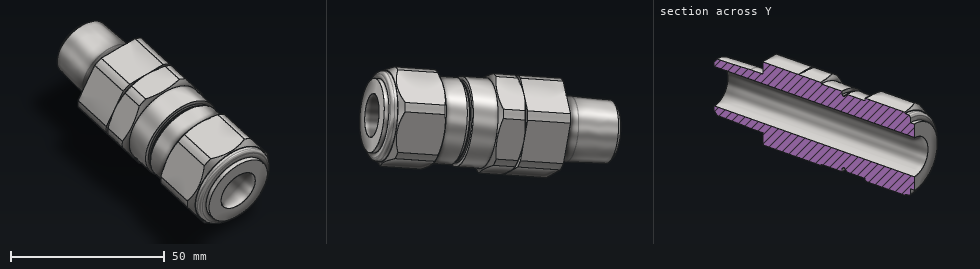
import cadquery as cq
import math

TOTAL_LENGTH = 82.65
BORE_RADIUS = 7.1
BORE_CHAMFER = 0.25

ACROSS_FLATS = 30.5
CORNER_RADIUS = 16.8
BEVEL_RUN = math.tan(math.radians(30))

SPIGOT_FACE_RADIUS = 8.9
SPIGOT_CHAMFER_LENGTH = 1.3
SPIGOT_TIP_RADIUS = 10.4
SPIGOT_RADIUS = 10.8
TAPER_END = 15.2

BODY_START = 20.1
BODY_END = 34.9
BODY_NECK_RADIUS = 15.2
COLLAR_START = 44.4

COLLAR_RADIUS = 14.8
COLLAR_END = 52.9
GROOVE_RADIUS = 13.15
GROOVE_START = 53.3
GROOVE_END = 53.6
SLEEVE_RADIUS = 14.3

NUT_START = 62.2
NUT_FACE_RADIUS = 15.0
FLANGE_START = 78.9
FLANGE_RADIUS = 14.8
FLANGE_END = 81.1
FLANGE_FILLET = 1.1
TUBE_RADIUS = 12.15


def turned(profile):
    """Solid of revolution about X from (x, radius) points, closed along the axis."""
    points = [(profile[0][0], 0)] + profile + [(profile[-1][0], 0)]
    return cq.Workplane("XY").polyline(points).close().revolve(360, (0, 0, 0), (1, 0, 0))


def hexagonal(profile):
    """Turned blank cut to a hexagon with flats facing +Z and -Z."""
    start = profile[0][0]
    length = profile[-1][0] - start
    prism = (
        cq.Workplane("YZ", origin=(start, 0, 0))
        .polygon(6, ACROSS_FLATS / math.cos(math.pi / 6))
        .extrude(length)
    )
    return turned(profile).intersect(prism)


spigot = turned([
    (0, SPIGOT_FACE_RADIUS),
    (SPIGOT_CHAMFER_LENGTH, SPIGOT_TIP_RADIUS),
    (TAPER_END, SPIGOT_RADIUS),
    (BODY_START, SPIGOT_RADIUS),
])

body_hexagon = hexagonal([(BODY_START, CORNER_RADIUS), (BODY_END, CORNER_RADIUS)])

middle_hexagon = hexagonal([
    (BODY_END, BODY_NECK_RADIUS),
    (BODY_END + (CORNER_RADIUS - BODY_NECK_RADIUS) * BEVEL_RUN, CORNER_RADIUS),
    (COLLAR_START - (CORNER_RADIUS - COLLAR_RADIUS) * BEVEL_RUN, CORNER_RADIUS),
    (COLLAR_START, COLLAR_RADIUS),
])

collar_and_sleeve = turned([
    (COLLAR_START, COLLAR_RADIUS),
    (COLLAR_END, COLLAR_RADIUS),
    (COLLAR_END, GROOVE_RADIUS + GROOVE_START - COLLAR_END),
    (GROOVE_START, GROOVE_RADIUS),
    (GROOVE_END, GROOVE_RADIUS),
    (GROOVE_END + SLEEVE_RADIUS - GROOVE_RADIUS, SLEEVE_RADIUS),
    (NUT_START, SLEEVE_RADIUS),
])

nut = hexagonal([
    (NUT_START, NUT_FACE_RADIUS),
    (NUT_START + (CORNER_RADIUS - NUT_FACE_RADIUS) * BEVEL_RUN, CORNER_RADIUS),
    (FLANGE_START - (CORNER_RADIUS - NUT_FACE_RADIUS), CORNER_RADIUS),
    (FLANGE_START, NUT_FACE_RADIUS),
])

flange = turned([
    (FLANGE_START, FLANGE_RADIUS),
    (FLANGE_END, FLANGE_RADIUS),
])
flange = flange.faces(">X").edges().fillet(FLANGE_FILLET)

tube = turned([(FLANGE_END, TUBE_RADIUS), (TOTAL_LENGTH, TUBE_RADIUS)])

bore = turned([
    (0, BORE_RADIUS + BORE_CHAMFER),
    (BORE_CHAMFER, BORE_RADIUS),
    (TOTAL_LENGTH, BORE_RADIUS),
])

result = spigot
for section in (body_hexagon, middle_hexagon, collar_and_sleeve, nut, flange, tube):
    result = result.union(section)
result = result.cut(bore)